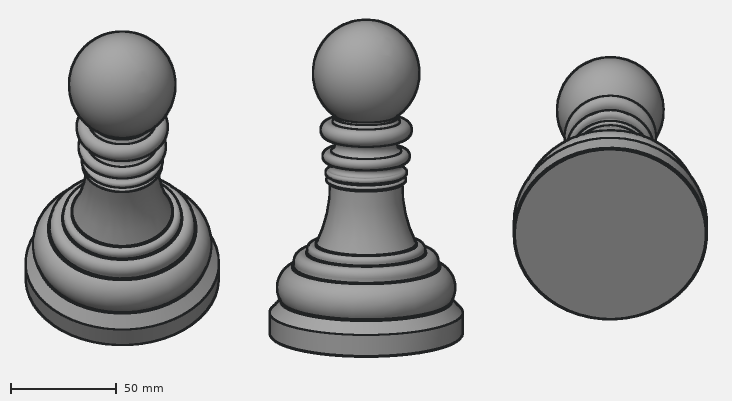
import cadquery as cq
import math

base_radius = 45.7
base_edge_chamfer = 0.6
base_top_chamfer = 0.5
base_height = 11.3
plinth_top_radius = 40.5
plinth_top = 16.3

cushion_tube = 10.7
cushion_radius = 42.2
cushion_bottom = 17.2
cushion_middle = 22.9
cushion_top = 32.9

wide_step_radius = 68.6 / 2
wide_step_round = 4.3
wide_step_top = 39.8
narrow_step_radius = 56.0 / 2
narrow_step_round = 2.5
narrow_step_top = 43.9

foot_bevel = 0.5

stem_bottom_radius = 23.6
stem_middle_radius = 18.9
stem_middle = 57.6
stem_top_radius = 17.2
stem_top = 73.6

neck_radius = 16.9
fin_radius, fin_round, fin_middle = 18.9, 0.8, 75.3
fin_root_half_height = 1.2
lower_ring_radius, lower_ring_round, lower_ring_middle = 19.4, 1.4, 78.8
middle_ring_radius, middle_ring_round, middle_ring_middle = 20.7, 2.6, 86.7
upper_ring_radius, upper_ring_round, upper_ring_middle = 21.6, 4.0, 99.5

lower_cove_edge, lower_cove_waist = 17.8, 16.0
upper_cove_edge, upper_cove_waist = 16.6, 14.8
collar_flare_radius = 16.0
collar_radius = 14.8
collar_bottom = 105.3

total_height = 152.4
head_radius = 25.3
head_middle = total_height - head_radius


def add_foot(profile, radius, height):
    """Run inward along a ledge and turn upward through a small bevel."""
    return (
        profile.lineTo(radius + foot_bevel, height)
        .lineTo(radius, height + foot_bevel)
    )


def add_rounded_step(profile, radius, rounding, top_of_tier_below, top):
    """Rise from a beveled foot and finish with a quarter-round upper edge."""
    profile = add_foot(profile, radius, top_of_tier_below)
    diagonal = rounding * math.sqrt(0.5)
    return (
        profile.lineTo(radius, top - rounding)
        .threePointArc(
            (radius - rounding + diagonal, top - rounding + diagonal),
            (radius - rounding, top),
        )
    )


def add_ring(profile, radius, rounding, middle):
    """Add a ring with a half-round rim, joined to the neck by straight sides."""
    return (
        profile.lineTo(radius - rounding, middle - rounding)
        .threePointArc((radius, middle), (radius - rounding, middle + rounding))
    )


def add_cove(profile, edge_radius, waist_radius, bottom, top):
    """Add a concave neck between two rings."""
    return (
        profile.lineTo(edge_radius, bottom)
        .threePointArc((waist_radius, (bottom + top) / 2), (edge_radius, top))
    )


def cushion_radius_at(height):
    """Radius of the cushion surface at a height above the bottom."""
    offset = height - cushion_middle
    return cushion_radius - cushion_tube + math.sqrt(cushion_tube**2 - offset**2)


profile = (
    cq.Workplane("XZ")
    .lineTo(base_radius - base_edge_chamfer, 0)
    .lineTo(base_radius, base_edge_chamfer)
    .lineTo(base_radius, base_height - base_top_chamfer)
    .lineTo(base_radius - base_top_chamfer, base_height)
    .lineTo(plinth_top_radius, plinth_top)
    .lineTo(cushion_radius_at(cushion_bottom), cushion_bottom)
    .threePointArc((cushion_radius, cushion_middle), (cushion_radius_at(cushion_top), cushion_top))
)
profile = add_rounded_step(profile, wide_step_radius, wide_step_round, cushion_top, wide_step_top)
profile = add_rounded_step(profile, narrow_step_radius, narrow_step_round, wide_step_top, narrow_step_top)

profile = add_foot(profile, stem_bottom_radius, narrow_step_top)
profile = (
    profile.threePointArc((stem_middle_radius, stem_middle), (stem_top_radius, stem_top))
    .lineTo(neck_radius, stem_top)
    .lineTo(neck_radius, fin_middle - fin_root_half_height)
)
profile = add_ring(profile, fin_radius, fin_round, fin_middle)
lower_ring_bottom = lower_ring_middle - lower_ring_round
profile = (
    profile.lineTo(neck_radius, fin_middle + fin_root_half_height)
    .lineTo(neck_radius, lower_ring_bottom)
)
profile = add_ring(profile, lower_ring_radius, lower_ring_round, lower_ring_middle)

profile = add_cove(
    profile,
    lower_cove_edge,
    lower_cove_waist,
    lower_ring_middle + lower_ring_round,
    middle_ring_middle - middle_ring_round,
)
profile = add_ring(profile, middle_ring_radius, middle_ring_round, middle_ring_middle)
profile = add_cove(
    profile,
    upper_cove_edge,
    upper_cove_waist,
    middle_ring_middle + middle_ring_round,
    upper_ring_middle - upper_ring_round,
)
profile = add_ring(profile, upper_ring_radius, upper_ring_round, upper_ring_middle)

upper_ring_top = upper_ring_middle + upper_ring_round
collar_top = head_middle - math.sqrt(head_radius**2 - collar_radius**2)
profile = (
    profile.lineTo(collar_flare_radius, upper_ring_top)
    .lineTo(collar_radius, collar_bottom)
    .lineTo(collar_radius, collar_top)
    .threePointArc((head_radius, head_middle), (0, total_height))
    .close()
)

result = profile.revolve(360, (0, 0, 0), (0, 1, 0))